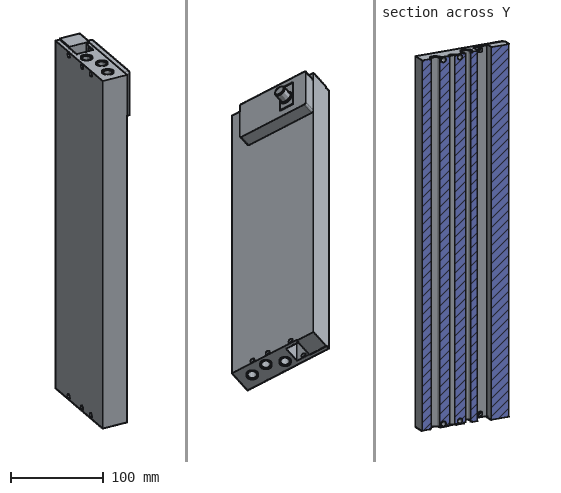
import cadquery as cq

rail_width = 106.7
rail_depth = 30.0
rail_height = 424.4

strip_width = 22.0
strip_overhang = 1.3
total_height = rail_height + 2 * strip_overhang

front_wall = 5.2
duct_width = 16.5
duct_depth = 20.6
strip_depth = rail_depth - front_wall

channel_centres = [(50.0, 11.1), (69.5, 19.3), (90.0, 15.4)]
channel_diameter = 9.8
mouth_diameter = 13.0
mouth_depth = 1.0

cross_hole_positions = [30.0, 60.0, 80.0]
cross_hole_diameter = 5.3
cross_hole_inset = 4.0

box_side_inset = 0.1
box_width = 86.2
box_height = 54.2
box_depth = 14.4
box_corner_radius = 2.3
box_top_drop = 10.4
box_back = rail_depth + box_depth
box_centre_z = total_height / 2 - box_top_drop - box_height / 2

connector_drop = 39.8
connector_plate_drop = 37.0
connector_x = 25.2
connector_z = total_height / 2 - connector_drop
plate_width = 17.2
plate_height = 35.4
plate_thickness = 1.0
plate_centre_z = total_height / 2 - connector_plate_drop
collar_diameter = 15.6
collar_thickness = 1.2
plug_diameter = 13.0
plug_end = 58.4
plug_chamfer = 1.0
plate_back = box_back + plate_thickness
collar_back = plate_back + collar_thickness


def back_plane(y, x=0.0, z=0.0):
    """Workplane at the given Y that faces +Y, with local x along +Z and local y along +X."""
    return cq.Workplane(cq.Plane(origin=(x, y, z), xDir=(0, 0, 1), normal=(0, 1, 0)))


def bar_along_z(x, y, width, depth, height):
    """Box with its lowest X and Y corner at (x, y), centred on Z = 0."""
    return cq.Workplane("XY").box(width, depth, height, centered=(False, False, True)).translate((x, y, 0))


def make_rail():
    rail = bar_along_z(0, 0, rail_width, rail_depth, rail_height)
    strip = bar_along_z(0, front_wall, strip_width, strip_depth, total_height)
    duct = bar_along_z(strip_width, front_wall, duct_width, duct_depth, rail_height)
    return rail.union(strip).cut(duct)


def make_channels():
    """Through channels, each with a shallow counterbore at both ends."""
    bottom = cq.Workplane("XY", origin=(0, 0, -rail_height / 2)).pushPoints(channel_centres)
    channels = bottom.circle(channel_diameter / 2).extrude(rail_height)
    for end in (-1, 1):
        mouths = cq.Workplane("XY", origin=(0, 0, end * rail_height / 2)).pushPoints(channel_centres)
        channels = channels.union(mouths.circle(mouth_diameter / 2).extrude(-end * mouth_depth))
    return channels


def make_cross_holes():
    hole_z = rail_height / 2 - cross_hole_inset
    centres = [(z, x) for x in cross_hole_positions for z in (-hole_z, hole_z)]
    return back_plane(0).pushPoints(centres).circle(cross_hole_diameter / 2).extrude(rail_depth)


def make_terminal_box():
    box = back_plane(rail_depth, box_side_inset + box_width / 2, box_centre_z)
    box = box.rect(box_height, box_width).extrude(box_depth)
    return box.edges("|Y").fillet(box_corner_radius)


def make_connector():
    plate = back_plane(box_back, connector_x, plate_centre_z)
    plate = plate.rect(plate_height, plate_width).extrude(plate_thickness)
    collar = back_plane(plate_back, connector_x, connector_z)
    collar = collar.circle(collar_diameter / 2).extrude(collar_thickness)
    plug = back_plane(collar_back, connector_x, connector_z)
    plug = plug.circle(plug_diameter / 2).extrude(plug_end - collar_back)
    plug = plug.faces(">Y").chamfer(plug_chamfer)
    return plate.union(collar).union(plug)


rail = make_rail().cut(make_channels()).cut(make_cross_holes())
result = rail.union(make_terminal_box()).union(make_connector())